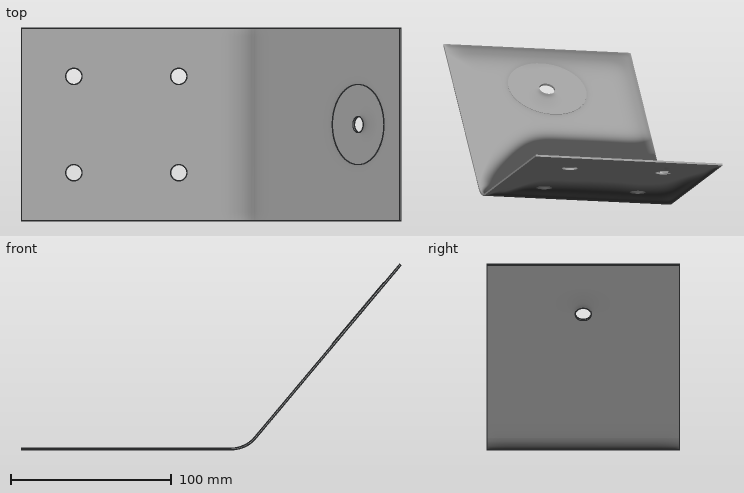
import cadquery as cq
import math

width = 120.0
thickness = 1.2
bend_angle = 50.0
outer_bend_radius = 20.0
inner_bend_radius = outer_bend_radius - thickness

base_length = 140.0
arm_length = 150.0

hole_diameter = 10.0
base_hole_spacing_y = 60.0
arm_hole_from_end = 40.0
pad_diameter = 50.0
pad_height = 0.3

angle = math.radians(bend_angle)
bend_setback = outer_bend_radius * math.tan(angle / 2)
base_flat = base_length - bend_setback
arm_flat = arm_length - bend_setback
bend_center_z = outer_bend_radius

base_hole_spacing_x = base_flat / 2


def bend_point(radius, turned):
    """Point on a bend arc after the sheet has turned by the given angle."""
    x = base_flat + radius * math.sin(turned)
    z = bend_center_z - radius * math.cos(turned)
    return (x, z)


def along_arm(point, distance):
    """Point moved up the arm by the given distance."""
    x, z = point
    return (x + distance * math.cos(angle), z + distance * math.sin(angle))


outer_bend_end = bend_point(outer_bend_radius, angle)
inner_bend_end = bend_point(inner_bend_radius, angle)


def make_sheet():
    """Bent strip of constant thickness, centred on the XZ plane."""
    profile = (
        cq.Workplane("XZ")
        .moveTo(0, 0)
        .lineTo(base_flat, 0)
        .threePointArc(bend_point(outer_bend_radius, angle / 2), outer_bend_end)
        .lineTo(*along_arm(outer_bend_end, arm_flat))
        .lineTo(*along_arm(inner_bend_end, arm_flat))
        .lineTo(*inner_bend_end)
        .threePointArc(bend_point(inner_bend_radius, angle / 2), (base_flat, thickness))
        .lineTo(0, thickness)
        .close()
    )
    return profile.extrude(width / 2, both=True)


def make_base_holes():
    """Cutters for the 2 x 2 hole pattern in the base."""
    return (
        cq.Workplane("XY")
        .center(base_flat / 2, 0)
        .rarray(base_hole_spacing_x, base_hole_spacing_y, 2, 2)
        .circle(hole_diameter / 2)
        .extrude(thickness)
    )


def arm_workplane():
    """Plane on the inner arm face, centred on the arm hole, normal out of the face."""
    x, z = along_arm(inner_bend_end, arm_flat - arm_hole_from_end)
    return cq.Workplane(
        cq.Plane(
            origin=(x, 0, z),
            xDir=(math.cos(angle), 0, math.sin(angle)),
            normal=(-math.sin(angle), 0, math.cos(angle)),
        )
    )


def make_pad():
    """Thin round pad raised on the inner arm face."""
    return arm_workplane().circle(pad_diameter / 2).extrude(pad_height)


def make_arm_hole():
    """Cutter for the hole through the pad and the arm."""
    depth = thickness + pad_height
    return arm_workplane().workplane(offset=pad_height).circle(hole_diameter / 2).extrude(-depth)


result = make_sheet().cut(make_base_holes()).union(make_pad()).cut(make_arm_hole())